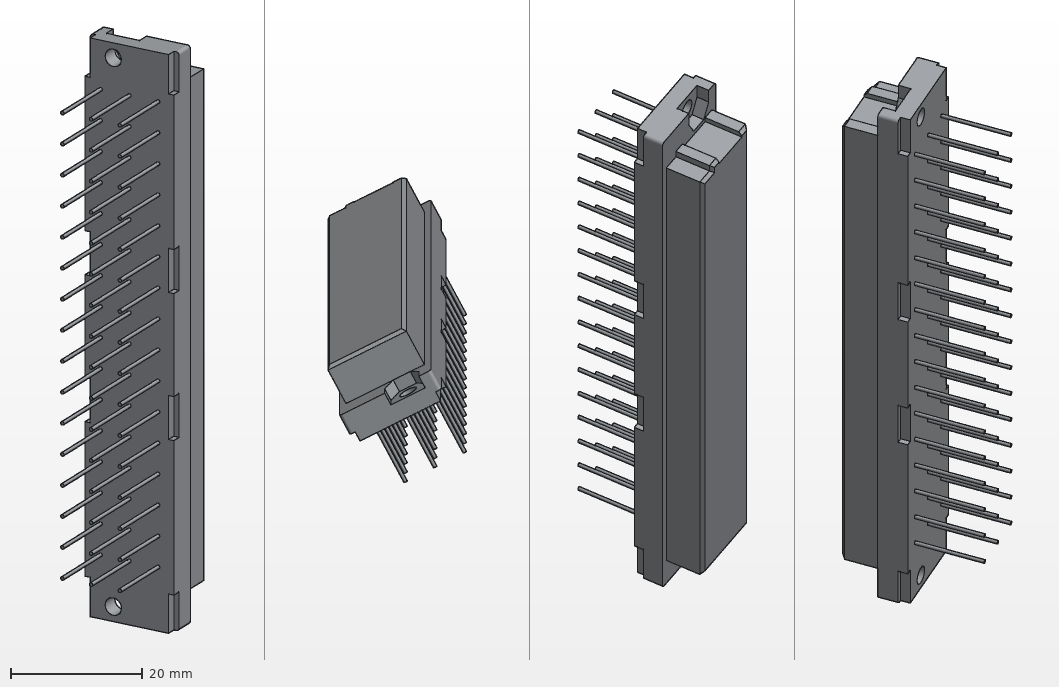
import cadquery as cq
import math


flange_width = 15.7
flange_thickness = 5.0
flange_length = 94.8
end_corner_radius = 0.6

body_width = 13.5
body_depth = 6.5
body_length = 84.9
body_chamfer = 0.6
shoulder_width = 2.8
shoulder_drop = 1.1
recess_left = -4.7
recess_right = 2.0
recess_depth = 0.9

hole_diameter = 2.8
hole_x = -2.8
hole_z = 44.9
nut_across_corners = 5.9
nut_pocket_depth = 2.1

notch_width = 0.95
notch_depth = 1.6
end_notch_length = 6.4
middle_notch_length = 7.2
middle_notch_z = 12.0

pin_diameter = 0.6
pin_length = 11.6
pin_embed = 0.95
pin_columns = 3
pin_rows = 16
pin_field_length = 76.2
pin_pitch = pin_field_length / (pin_rows - 1)
pin_field_z = 1.2


def block(x_min, x_max, y_min, y_max, z_min, z_max):
    """Box between the given limits."""
    size = (x_max - x_min, y_max - y_min, z_max - z_min)
    return cq.Workplane("XY").box(*size, centered=False).translate((x_min, y_min, z_min))


def extrude_to_back(points, y_start, depth):
    """Extrude an XZ outline from y_start towards +Y."""
    plane = cq.Workplane("XZ", origin=(0, y_start, 0))
    return plane.polyline(points).close().extrude(-depth)


def make_flange():
    """Plate with its four end corners rounded."""
    half_width = flange_width / 2
    half_length = flange_length / 2
    plate = block(-half_width, half_width, 0, flange_thickness, -half_length, half_length)
    return plate.edges("|Y").fillet(end_corner_radius)


def make_body():
    """Chamfered block with a lower shoulder and a shallow recess in its +Z end."""
    half_width = body_width / 2
    top = body_length / 2
    shoulder_x = half_width - shoulder_width
    outline = [
        (-half_width, -top),
        (half_width, -top),
        (half_width, top - shoulder_drop),
        (shoulder_x, top - shoulder_drop),
        (shoulder_x, top),
        (-half_width, top),
    ]
    body = extrude_to_back(outline, flange_thickness, body_depth)
    body = body.faces(">Y").chamfer(body_chamfer)
    back = flange_thickness + body_depth
    recess = block(recess_left, recess_right, flange_thickness, back, top - recess_depth, top)
    return body.cut(recess)


def nut_pocket(end):
    """Half-hexagon nut seat, open through the flange end given by end = +1 or -1."""
    half_corners = nut_across_corners / 2
    half_side = half_corners / 2
    half_flats = half_corners * math.sqrt(3) / 2
    seat_z = hole_z - half_flats
    outline = [
        (hole_x - half_corners, end * flange_length / 2),
        (hole_x - half_corners, end * hole_z),
        (hole_x - half_side, end * seat_z),
        (hole_x + half_side, end * seat_z),
        (hole_x + half_corners, end * hole_z),
        (hole_x + half_corners, end * flange_length / 2),
    ]
    return extrude_to_back(outline, flange_thickness - nut_pocket_depth, nut_pocket_depth)


def mounting_hole(end):
    """Round hole through the flange near the end given by end = +1 or -1."""
    plane = cq.Workplane("XZ", origin=(hole_x, 0, end * hole_z))
    return plane.circle(hole_diameter / 2).extrude(-flange_thickness)


def edge_notch(side, z_center, length):
    """Notch in the pin face along the long edge given by side = +1 or -1."""
    outer = side * flange_width / 2
    inner = outer - side * notch_width
    z_min = z_center - length / 2
    return block(min(outer, inner), max(outer, inner), 0, notch_depth, z_min, z_min + length)


def make_pins():
    """Grid of round pins, rooted inside the flange."""
    plane = cq.Workplane("XZ", origin=(0, pin_embed, pin_field_z))
    grid = plane.rarray(pin_pitch, pin_pitch, pin_columns, pin_rows)
    return grid.circle(pin_diameter / 2).extrude(pin_embed + pin_length)


flange = make_flange()
end_notch_z = (flange_length - end_notch_length) / 2
for end in (-1, 1):
    flange = flange.cut(nut_pocket(end)).cut(mounting_hole(end))
    for side in (-1, 1):
        flange = flange.cut(edge_notch(side, end * end_notch_z, end_notch_length))
        flange = flange.cut(edge_notch(side, end * middle_notch_z, middle_notch_length))

result = flange.union(make_body()).union(make_pins())